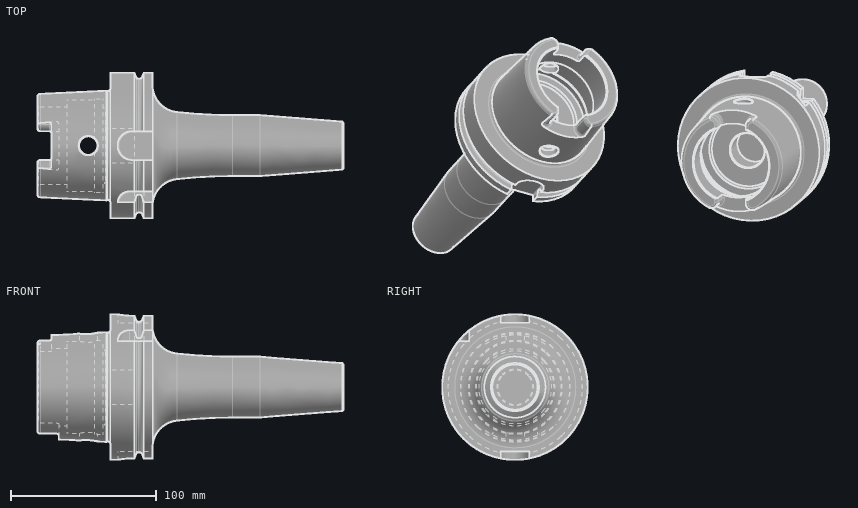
import cadquery as cq
import math


SHANK_LENGTH = 50.0
SHANK_ROOT_R = 37.85
SHANK_END_R = 35.45
SHANK_END_FILLET = 2.0
UNDERCUT_START_X = -2.6
UNDERCUT_BOTTOM_X = -2.1
UNDERCUT_R = 37.4
ROOT_FILLET = 1.7

BORE_R = 26.5
BORE_CHAMFER = 0.7
BORE_LENGTH = 20.0
CHAMBER_R = 31.5
RELIEF_START_X = -11.0
RELIEF_END_X = -5.0
RELIEF_R = 32.2
FLOOR_X = -3.5
FLOOR_R = 25.0
COOLANT_R = 11.9
COOLANT_DEPTH = 20.0
COOLANT_CHAMFER = 0.6

FLANGE_R = 50.0
FLANGE_WIDTH = 29.0
GROOVE_R = 46.0
GROOVE_TOP_START = 16.5
GROOVE_BOTTOM_START = 18.2
GROOVE_BOTTOM_END = 21.3
GROOVE_TOP_END = 22.9
GROOVE_FILLET = 1.4

NOSE_END_X = 160.0
ROOT_ARC_END_X = 45.5
CYLINDER_START_X = 83.5
CYLINDER_END_X = 102.5
CYLINDER_R = 21.0
NECK_R = 23.1
TIP_TAPER = math.radians(4.5)
TIP_CHAMFER = 1.0

NOTCH_HALF_WIDTH = 9.8
NOTCH_CORNER_R = 5.0
NOTCH_SHOULDER_Z = 32.0
NOTCH_TOP_DEPTH = 9.6
NOTCH_BOTTOM_DEPTH = 14.6
NOTCH_FLOOR_FILLET = 1.4

CROSS_HOLE_X = -15.1
CROSS_HOLE_D = 12.6
CROSS_HOLE_CHAMFER = 0.4

KEYWAY_START_X = 5.0
KEYWAY_R = 9.9
KEYWAY_FLOOR_Z = 44.0

MARK_START_X = 5.0
MARK_R = 8.0
MARK_OFFSET = 31.4

SLOT_FLOOR_FILLET = 0.6

CLEARANCE = 10.0
SELECT_MARGIN = 1.0


def shank_radius(x):
    """Outer radius of the shank taper at the given x."""
    return SHANK_ROOT_R + x * (SHANK_ROOT_R - SHANK_END_R) / SHANK_LENGTH


def make_body():
    """Solid of revolution carrying every outer diameter."""
    blend_length = CYLINDER_START_X - ROOT_ARC_END_X
    blend_rise = NECK_R - CYLINDER_R
    blend_angle = 2 * math.atan2(blend_rise, blend_length)
    blend_r = blend_length / math.sin(blend_angle)
    blend_mid_x = CYLINDER_START_X - blend_r * math.sin(blend_angle / 2)
    blend_mid_r = CYLINDER_R + blend_r * (1 - math.cos(blend_angle / 2))

    root_r = (ROOT_ARC_END_X - FLANGE_WIDTH) / (1 - math.sin(blend_angle))
    root_center_x = FLANGE_WIDTH + root_r
    root_center_r = NECK_R + root_r * math.cos(blend_angle)
    root_mid_angle = math.pi + (math.pi / 2 - blend_angle) / 2
    root_mid_x = root_center_x + root_r * math.cos(root_mid_angle)
    root_mid_r = root_center_r + root_r * math.sin(root_mid_angle)

    taper = math.tan(TIP_TAPER)
    tip_r = CYLINDER_R - (NOSE_END_X - CYLINDER_END_X) * taper

    profile = (
        cq.Workplane("XY")
        .moveTo(-SHANK_LENGTH, 0)
        .lineTo(-SHANK_LENGTH, SHANK_END_R)
        .lineTo(UNDERCUT_START_X, shank_radius(UNDERCUT_START_X))
        .lineTo(UNDERCUT_BOTTOM_X, UNDERCUT_R)
        .lineTo(-ROOT_FILLET, UNDERCUT_R)
        .radiusArc((0, UNDERCUT_R + ROOT_FILLET), -ROOT_FILLET)
        .lineTo(0, FLANGE_R)
        .lineTo(FLANGE_WIDTH, FLANGE_R)
        .lineTo(FLANGE_WIDTH, root_center_r)
        .threePointArc((root_mid_x, root_mid_r), (ROOT_ARC_END_X, NECK_R))
        .threePointArc((blend_mid_x, blend_mid_r), (CYLINDER_START_X, CYLINDER_R))
        .lineTo(CYLINDER_END_X, CYLINDER_R)
        .lineTo(NOSE_END_X - TIP_CHAMFER, tip_r + TIP_CHAMFER * taper)
        .lineTo(NOSE_END_X, tip_r - TIP_CHAMFER)
        .lineTo(NOSE_END_X, 0)
        .close()
    )
    return revolve_about_x(profile)


def revolve_about_x(profile):
    """Full revolution about the spindle axis."""
    return profile.revolve(360, (0, 0, 0), (1, 0, 0))


def make_gripper_groove():
    """Ring that cuts the V groove, with rounded bottom corners."""
    profile = (
        cq.Workplane("XY")
        .moveTo(GROOVE_TOP_START, FLANGE_R)
        .lineTo(GROOVE_BOTTOM_START, GROOVE_R)
        .lineTo(GROOVE_BOTTOM_END, GROOVE_R)
        .lineTo(GROOVE_TOP_END, FLANGE_R)
        .lineTo(GROOVE_TOP_END, FLANGE_R + CLEARANCE)
        .lineTo(GROOVE_TOP_START, FLANGE_R + CLEARANCE)
        .close()
    )
    ring = revolve_about_x(profile)
    bottom_edges = cq.selectors.RadiusNthSelector(0)
    return ring.edges(bottom_edges).fillet(GROOVE_FILLET)


def make_bore():
    """Cavity of the hollow shank and the coolant hole in its floor."""
    chamber_start_x = BORE_LENGTH - SHANK_LENGTH
    profile = (
        cq.Workplane("XY")
        .moveTo(-SHANK_LENGTH, 0)
        .lineTo(-SHANK_LENGTH, BORE_R + BORE_CHAMFER)
        .lineTo(-SHANK_LENGTH + BORE_CHAMFER, BORE_R)
        .lineTo(chamber_start_x, BORE_R)
        .lineTo(chamber_start_x, CHAMBER_R)
        .lineTo(RELIEF_START_X, CHAMBER_R)
        .lineTo(RELIEF_START_X, RELIEF_R)
        .lineTo(RELIEF_END_X, RELIEF_R)
        .lineTo(RELIEF_END_X, BORE_R)
        .lineTo(FLOOR_X, FLOOR_R)
        .lineTo(FLOOR_X, COOLANT_R + COOLANT_CHAMFER)
        .lineTo(FLOOR_X + COOLANT_CHAMFER, COOLANT_R)
        .lineTo(FLOOR_X + COOLANT_DEPTH, COOLANT_R)
        .lineTo(FLOOR_X + COOLANT_DEPTH, 0)
        .close()
    )
    return revolve_about_x(profile)


def make_drive_notch(depth):
    """Cutter for the upper drive notch: straight slot flaring over rounded corners."""
    outer_y = SHANK_ROOT_R + CLEARANCE
    flare_y = NOTCH_HALF_WIDTH + NOTCH_CORNER_R
    corner_z = NOTCH_SHOULDER_Z - NOTCH_CORNER_R
    corner_mid_offset = NOTCH_CORNER_R * math.sqrt(0.5)
    corner_mid_y = flare_y - corner_mid_offset
    corner_mid_z = corner_z + corner_mid_offset
    cutter = (
        cq.Workplane("YZ", origin=(-SHANK_LENGTH - CLEARANCE, 0, 0))
        .moveTo(-NOTCH_HALF_WIDTH, 0)
        .lineTo(NOTCH_HALF_WIDTH, 0)
        .lineTo(NOTCH_HALF_WIDTH, corner_z)
        .threePointArc((corner_mid_y, corner_mid_z), (flare_y, NOTCH_SHOULDER_Z))
        .lineTo(outer_y, NOTCH_SHOULDER_Z)
        .lineTo(outer_y, outer_y)
        .lineTo(-outer_y, outer_y)
        .lineTo(-outer_y, NOTCH_SHOULDER_Z)
        .lineTo(-flare_y, NOTCH_SHOULDER_Z)
        .threePointArc((-corner_mid_y, corner_mid_z), (-NOTCH_HALF_WIDTH, corner_z))
        .close()
        .extrude(CLEARANCE + depth)
    )
    floor_x = depth - SHANK_LENGTH
    wall_box = cq.selectors.BoxSelector(
        (floor_x - SELECT_MARGIN, -outer_y + SELECT_MARGIN, SELECT_MARGIN),
        (floor_x + SELECT_MARGIN, outer_y - SELECT_MARGIN, NOTCH_SHOULDER_Z + SELECT_MARGIN),
    )
    return cutter.edges(wall_box).fillet(NOTCH_FLOOR_FILLET)


def cut_cross_hole(solid):
    """Drill the radial hole through both walls and break its outer rims."""
    hole_r = CROSS_HOLE_D / 2
    hole = cq.Workplane("XY").center(CROSS_HOLE_X, 0).circle(hole_r).extrude(FLANGE_R, both=True)
    drilled = solid.cut(hole)
    for side in (1, -1):
        rim_box = cq.selectors.BoxSelector(
            (CROSS_HOLE_X - CROSS_HOLE_D, -CROSS_HOLE_D, side * (CHAMBER_R + SELECT_MARGIN)),
            (CROSS_HOLE_X + CROSS_HOLE_D, CROSS_HOLE_D, side * FLANGE_R),
        )
        drilled = drilled.edges(rim_box).chamfer(CROSS_HOLE_CHAMFER)
    return drilled


def make_keyway():
    """Round-ended slot through the upper rim, open towards the nose."""
    center_x = KEYWAY_START_X + KEYWAY_R
    return round_slot(center_x, 0, KEYWAY_R, KEYWAY_FLOOR_Z)


def round_slot(center_x, center_y, radius, floor_z):
    """Slot along +X with one round end and a filleted floor at floor_z."""
    end_x = FLANGE_WIDTH
    height = FLANGE_R + CLEARANCE - floor_z
    return (
        cq.Workplane("XY", origin=(0, 0, floor_z))
        .moveTo(end_x, center_y - radius)
        .lineTo(center_x, center_y - radius)
        .threePointArc((center_x - radius, center_y), (center_x, center_y + radius))
        .lineTo(end_x, center_y + radius)
        .close()
        .extrude(height)
        .edges("<Z and (not >X)")
        .fillet(SLOT_FLOOR_FILLET)
    )


def make_orientation_notch():
    """Corner step at -Y, +Z with a quarter-round end."""
    center_x = MARK_START_X + MARK_R
    return round_slot(center_x, -MARK_OFFSET - MARK_R, MARK_R, MARK_OFFSET)


def flip(cutter):
    """Copy of a cutter turned half a revolution about the spindle axis."""
    return cutter.rotate((0, 0, 0), (1, 0, 0), 180)


body = make_body().cut(make_gripper_groove())
body = body.cut(make_drive_notch(NOTCH_TOP_DEPTH))
body = body.cut(flip(make_drive_notch(NOTCH_BOTTOM_DEPTH)))
body = body.faces("<X").edges().fillet(SHANK_END_FILLET)
body = body.cut(make_bore())
body = cut_cross_hole(body)

keyway = make_keyway()
body = body.cut(keyway).cut(flip(keyway))
result = body.cut(make_orientation_notch())